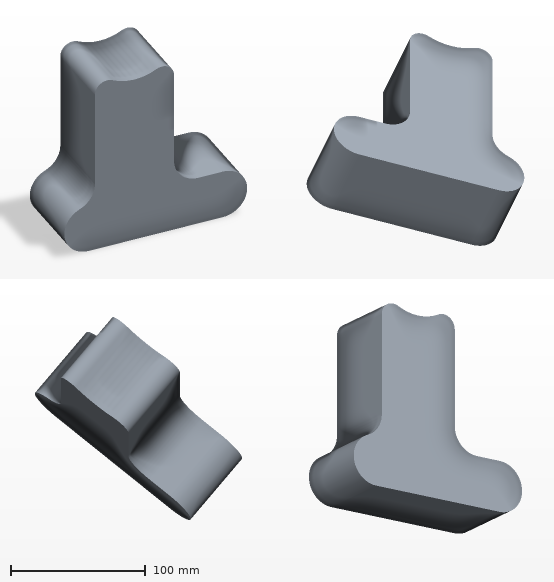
import cadquery as cq
import math

width = 60.0
length = 150.0
height = 145.4
foot_radius = 20.0
fillet_radius = 20.0
column_back = 15.0
column_front = -50.0
crest_radius = 10.0
saddle_radius = 40.0

foot_height = 2 * foot_radius
foot_center_y = length / 2 - foot_radius

front_fillet_y = column_front - fillet_radius
center_distance = foot_radius + fillet_radius
front_fillet_rise = math.sqrt(center_distance**2 - (front_fillet_y + foot_center_y) ** 2)
front_fillet_z = foot_radius + front_fillet_rise
blend = foot_radius / center_distance
front_blend_y = -foot_center_y + blend * (front_fillet_y + foot_center_y)
front_blend_z = foot_radius + blend * front_fillet_rise

column_center = (column_front + column_back) / 2
crest_offset = (column_back - column_front) / 2 - crest_radius
crest_z = height - crest_radius
saddle_reach = saddle_radius + crest_radius
saddle_rise = math.sqrt(saddle_reach**2 - crest_offset**2)
saddle_bottom = crest_z + saddle_rise - saddle_radius
saddle_end_offset = crest_offset * saddle_radius / saddle_reach
saddle_end_z = crest_z + saddle_rise * crest_radius / saddle_reach

profile = (
    cq.Workplane("YZ")
    .moveTo(-foot_center_y, 0)
    .lineTo(foot_center_y, 0)
    .threePointArc((length / 2, foot_radius), (foot_center_y, foot_height))
    .lineTo(column_back + fillet_radius, foot_height)
    .tangentArcPoint((column_back, foot_height + fillet_radius), relative=False)
    .lineTo(column_back, crest_z)
    .tangentArcPoint((column_center + saddle_end_offset, saddle_end_z), relative=False)
    .threePointArc((column_center, saddle_bottom), (column_center - saddle_end_offset, saddle_end_z))
    .tangentArcPoint((column_front, crest_z), relative=False)
    .lineTo(column_front, front_fillet_z)
    .tangentArcPoint((front_blend_y, front_blend_z), relative=False)
    .threePointArc((-length / 2, foot_radius), (-foot_center_y, 0))
    .close()
)

result = profile.extrude(width / 2, both=True)